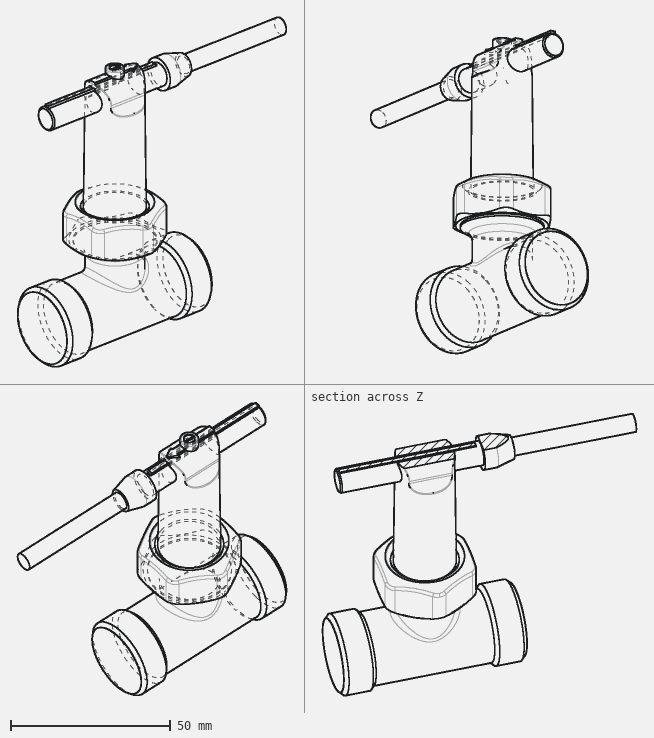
import cadquery as cq
import math

TUBE_RADIUS = 11.9
TUBE_LENGTH = 60.1
COLLAR_RADIUS = 13.2
COLLAR_LENGTH = 9.4
COLLAR_CHAMFER = 1.4

NECK_RADIUS = 9.5
NECK_FILLET = 1.7
FLARE_RADIUS = 13.2
FLARE_HEIGHT = 2.5
FLARE_TOP = 20.7
FLARE_FILLET = 2.6

NUT_BOTTOM = 21.4
NUT_TOP = 34.6
NUT_SIDES = 6
NUT_ACROSS_FLATS = 29.7
NUT_CORNER_RADIUS = 4.3
NUT_TOP_FACE_RADIUS = 12.5
NUT_BOTTOM_FACE_RADIUS = 14.6
NUT_CHAMFER_ANGLE = 30
NUT_EDGE_FILLET = 1.2
NUT_BORE_RADIUS = 10.8
NUT_BORE_DEPTH = 1.7
NUT_MOUTH_FILLET = 1.4

STEM_BASE_RADIUS = 9.9
STEM_TOP_RADIUS = 9.5
LEVER_AXIS_Z = 73.6
DOME_RADIUS = 6.4
DOME_SIDE_DROP = 0.9
SADDLE_RADIUS = 3.15
HEAD_EDGE_FILLET = 0.3

LEVER_RADIUS = 3.9
LEVER_FRONT = -28.7
LEVER_END_CHAMFER = 0.5
SLEEVE_RADIUS = 5.5
SLEEVE_START = 18.2
SLEEVE_CONE_START = 22.4
SLEEVE_END = 28.4
ROD_RADIUS = 3.0
OVERALL_LENGTH = 98.5
ROD_END = OVERALL_LENGTH - TUBE_LENGTH / 2
KEY_WIDTH = 1.7
KEY_HEIGHT = 0.8
KEY_END = 16.6
KEY_END_CHAMFER = 0.5
KEYWAY_WIDTH = 2.6

ARROW_RISE = 0.5
ARROW_SINK = 0.5
ARROW_TOP = LEVER_AXIS_Z + DOME_RADIUS + ARROW_RISE
ARROW_BASE = LEVER_AXIS_Z + DOME_RADIUS - ARROW_SINK
ARROW_TIP = 9.3
ARROW_BARB = 5.7
ARROW_TIP_WIDTH = 1.2
ARROW_BARB_WIDTH = 4.8
ARROW_SHAFT_WIDTH = 3.15
ARROW_SIDE_ANGLE = 15

SCREW_RADIUS = 3.0
SCREW_TOP = 82.4
SCREW_EDGE_FILLET = 0.4
SOCKET_RADIUS = 1.8
SOCKET_DEPTH = 0.4
SLOT_WIDTH = 0.4
SLOT_DEPTH = 0.4

PICK_MARGIN = 0.1
OVERSHOOT = 1.0


def revolve_about_z(radius_height_points):
    profile = cq.Workplane("XZ").polyline(radius_height_points).close()
    return profile.revolve(360, (0, 0, 0), (0, 1, 0))


def cylinder_along_y(radius, start, end, height=0.0):
    return cq.Workplane("XZ", origin=(0, start, height)).circle(radius).extrude(start - end)


def edges_between(reach, low, high):
    """Selector for edges within a square of half-width reach and between two heights."""
    return cq.selectors.BoxSelector((-reach, -reach, low), (reach, reach, high), boundingbox=True)


def make_collar():
    """Chamfered collar at the +Y end of the tube."""
    end = TUBE_LENGTH / 2
    step = COLLAR_RADIUS - TUBE_RADIUS
    start = end - COLLAR_LENGTH
    profile = [
        (0, start - step),
        (TUBE_RADIUS, start - step),
        (COLLAR_RADIUS, start),
        (COLLAR_RADIUS, end - COLLAR_CHAMFER),
        (COLLAR_RADIUS - COLLAR_CHAMFER, end),
        (0, end),
    ]
    return cq.Workplane("XY").polyline(profile).close().revolve(360, (0, 0, 0), (0, 1, 0))


def make_body():
    """Tee body: tube, neck, end collars and the flare under the nut."""
    tube = cylinder_along_y(TUBE_RADIUS, -TUBE_LENGTH / 2, TUBE_LENGTH / 2)
    flare_bottom = FLARE_TOP - FLARE_HEIGHT
    neck = cq.Workplane("XY").circle(NECK_RADIUS).extrude(flare_bottom)
    junction = edges_between(NECK_RADIUS + PICK_MARGIN, PICK_MARGIN, flare_bottom - PICK_MARGIN)
    body = tube.union(neck).edges(junction).fillet(NECK_FILLET)

    flare_start = (flare_bottom + TUBE_RADIUS) / 2
    flare = revolve_about_z([
        (0, flare_start),
        (NECK_RADIUS, flare_start),
        (NECK_RADIUS, flare_bottom),
        (FLARE_RADIUS, FLARE_TOP),
        (FLARE_RADIUS, NUT_BOTTOM),
        (0, NUT_BOTTOM),
    ])
    waist = edges_between(NECK_RADIUS + PICK_MARGIN, flare_bottom - PICK_MARGIN, flare_bottom + PICK_MARGIN)
    flare = flare.edges(waist).fillet(FLARE_FILLET)

    collar = make_collar()
    return body.union(flare).union(collar).union(collar.mirror("XZ"))


def make_nut():
    """Hexagon with rounded corners, conical top and bottom, and a rounded mouth."""
    height = NUT_TOP - NUT_BOTTOM
    corner_diameter = NUT_ACROSS_FLATS / math.cos(math.pi / NUT_SIDES)
    hexagon = cq.Workplane("XY", origin=(0, 0, NUT_BOTTOM)).polygon(NUT_SIDES, corner_diameter)
    prism = hexagon.extrude(height).edges("|Z").fillet(NUT_CORNER_RADIUS)

    reach = corner_diameter / 2
    slope = math.tan(math.radians(NUT_CHAMFER_ANGLE))
    cones = revolve_about_z([
        (0, NUT_BOTTOM),
        (NUT_BOTTOM_FACE_RADIUS, NUT_BOTTOM),
        (reach, NUT_BOTTOM + slope * (reach - NUT_BOTTOM_FACE_RADIUS)),
        (reach, NUT_TOP - slope * (reach - NUT_TOP_FACE_RADIUS)),
        (NUT_TOP_FACE_RADIUS, NUT_TOP),
        (0, NUT_TOP),
    ])
    nut = prism.intersect(cones)
    upper_cone = nut.faces("%CONE").faces(">Z")
    rim = upper_cone.edges(edges_between(reach, NUT_BOTTOM, NUT_TOP - PICK_MARGIN))
    nut = nut.newObject(rim.vals()).fillet(NUT_EDGE_FILLET)

    bore = cq.Workplane("XY", origin=(0, 0, NUT_TOP - NUT_BORE_DEPTH))
    nut = nut.cut(bore.circle(NUT_BORE_RADIUS).extrude(NUT_BORE_DEPTH))
    mouth = cq.selectors.RadiusNthSelector(0)
    return nut.faces(">Z").edges(mouth).fillet(NUT_MOUTH_FILLET)


def make_stem():
    """Tapered stem whose head is a dome along Y with a concave saddle on each side."""
    base = NUT_TOP - NUT_BORE_DEPTH
    saddle_bottom = LEVER_AXIS_Z - DOME_SIDE_DROP - SADDLE_RADIUS
    crown = LEVER_AXIS_Z + DOME_RADIUS
    stem = revolve_about_z([
        (0, base),
        (STEM_BASE_RADIUS, base),
        (STEM_TOP_RADIUS, crown),
        (0, crown),
    ])

    outside = STEM_BASE_RADIUS + OVERSHOOT
    saddle_top = LEVER_AXIS_Z - DOME_SIDE_DROP
    saddle_middle = SADDLE_RADIUS * (1 - math.sqrt(0.5))
    front_outline = (
        cq.Workplane("XZ", origin=(0, outside, 0))
        .moveTo(-outside, base)
        .lineTo(outside, base)
        .lineTo(outside, saddle_bottom)
        .lineTo(DOME_RADIUS + SADDLE_RADIUS, saddle_bottom)
        .threePointArc(
            (DOME_RADIUS + saddle_middle, saddle_top - SADDLE_RADIUS + saddle_middle),
            (DOME_RADIUS, saddle_top),
        )
        .lineTo(DOME_RADIUS, LEVER_AXIS_Z)
        .threePointArc((0, crown), (-DOME_RADIUS, LEVER_AXIS_Z))
        .lineTo(-DOME_RADIUS, saddle_top)
        .threePointArc(
            (-DOME_RADIUS - saddle_middle, saddle_top - SADDLE_RADIUS + saddle_middle),
            (-DOME_RADIUS - SADDLE_RADIUS, saddle_bottom),
        )
        .lineTo(-outside, saddle_bottom)
        .close()
    )
    stem = stem.intersect(front_outline.extrude(2 * outside))
    dome_ends = edges_between(outside, LEVER_AXIS_Z - PICK_MARGIN, crown + PICK_MARGIN)
    stem = stem.edges(dome_ends).edges("not |Y").fillet(HEAD_EDGE_FILLET)

    keyway = cq.Workplane("XY", origin=(0, 0, LEVER_AXIS_Z)).rect(KEYWAY_WIDTH, 2 * outside)
    return stem.cut(keyway.extrude(LEVER_RADIUS + KEY_HEIGHT))


def make_lever():
    """Keyed lever, its stepped sleeve and the thin rod beyond it."""
    lever = cylinder_along_y(LEVER_RADIUS, LEVER_FRONT, SLEEVE_START, LEVER_AXIS_Z)
    lever = lever.faces("<Y").chamfer(LEVER_END_CHAMFER)
    rod = cylinder_along_y(ROD_RADIUS, SLEEVE_END, ROD_END, LEVER_AXIS_Z)

    sleeve_profile = [
        (0, SLEEVE_START),
        (SLEEVE_RADIUS, SLEEVE_START),
        (SLEEVE_RADIUS, SLEEVE_CONE_START),
        (LEVER_RADIUS, SLEEVE_END),
        (0, SLEEVE_END),
    ]
    sleeve_plane = cq.Workplane("XY", origin=(0, 0, LEVER_AXIS_Z))
    sleeve = sleeve_plane.polyline(sleeve_profile).close().revolve(360, (0, 0, 0), (0, 1, 0))

    key_start = LEVER_FRONT + LEVER_END_CHAMFER
    key = (
        cq.Workplane("XY", origin=(0, (key_start + KEY_END) / 2, LEVER_AXIS_Z))
        .rect(KEY_WIDTH, KEY_END - key_start)
        .extrude(LEVER_RADIUS + KEY_HEIGHT)
        .edges(">Z and >Y")
        .chamfer(KEY_END_CHAMFER)
    )
    return lever.union(key).union(sleeve).union(rod)


def make_arrow():
    """Arrow with sloping sides, pointing to +Y and trimmed to the stem."""
    tail = -STEM_TOP_RADIUS - OVERSHOOT
    right_side = [
        (ARROW_SHAFT_WIDTH / 2, tail),
        (ARROW_SHAFT_WIDTH / 2, ARROW_BARB),
        (ARROW_BARB_WIDTH / 2, ARROW_BARB),
        (ARROW_TIP_WIDTH / 2, ARROW_TIP),
    ]
    left_side = [(-x, y) for x, y in reversed(right_side)]
    height = ARROW_TOP - ARROW_BASE
    outline = cq.Workplane("XY", origin=(0, 0, ARROW_BASE)).polyline(right_side + left_side).close()
    arrow = outline.extrude(height, taper=ARROW_SIDE_ANGLE)
    trim = cq.Workplane("XY", origin=(0, 0, ARROW_BASE)).circle(STEM_TOP_RADIUS).extrude(height)
    return arrow.intersect(trim)


def make_screw():
    """Round screw head with a slotted socket."""
    base = LEVER_AXIS_Z + LEVER_RADIUS + KEY_HEIGHT
    screw = cq.Workplane("XY", origin=(0, 0, base)).circle(SCREW_RADIUS).extrude(SCREW_TOP - base)
    screw = screw.faces(">Z").edges().fillet(SCREW_EDGE_FILLET)
    socket = cq.Workplane("XY", origin=(0, 0, SCREW_TOP)).circle(SOCKET_RADIUS).extrude(-SOCKET_DEPTH)
    slot = (
        cq.Workplane("XY", origin=(0, 0, SCREW_TOP))
        .rect(SLOT_WIDTH, 2 * SOCKET_RADIUS)
        .extrude(-SOCKET_DEPTH - SLOT_DEPTH)
    )
    return screw.cut(socket).cut(slot)


result = make_body()
for part in (make_nut(), make_stem(), make_lever(), make_arrow(), make_screw()):
    result = result.union(part)